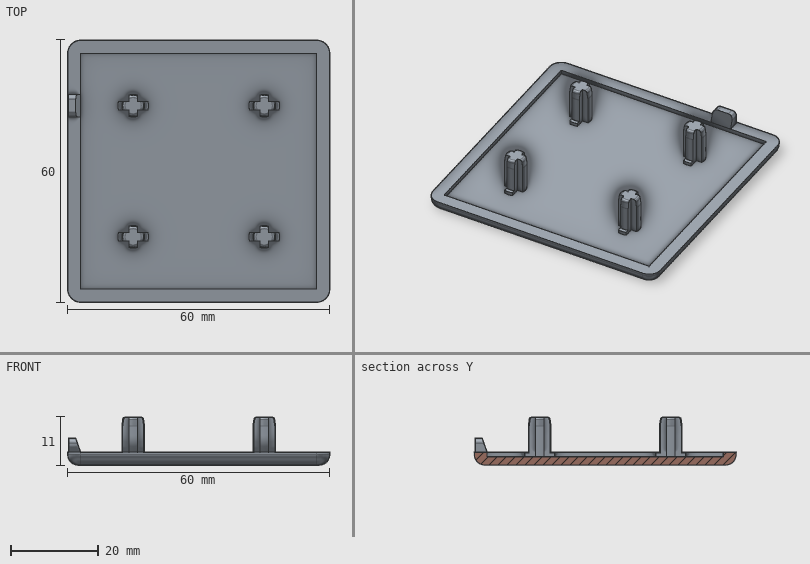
import cadquery as cq

PLATE_SIZE = 60.0
PLATE_THICKNESS = 3.0
CORNER_RADIUS = 3.0
EDGE_ROUND = 2.5
RIM_WIDTH = 3.0
POCKET_DEPTH = 1.0
FLOOR_Z = PLATE_THICKNESS - POCKET_DEPTH
POCKET_SIZE = PLATE_SIZE - 2 * RIM_WIDTH

TOTAL_HEIGHT = 11.0
POST_SPACING = 30.0
POST_RADIUS = 2.6
ARM_WIDTH = 2.0
TAPER_HEIGHT = 2.0
TAPER_INSET = 0.2
TIP_ROUND = 0.55

FOOT_REACH = 0.9
FOOT_RADIUS = POST_RADIUS + FOOT_REACH
FOOT_HEIGHT = 0.8

TAB_WIDTH = 5.2
TAB_HEIGHT = 3.2
TAB_TOP_LENGTH = 1.6
TAB_OUTER_GAP = 0.25
TAB_SIDE_ROUND = 1.2
TAB_Y = POST_SPACING / 2


def make_plate():
    """Rounded square with a rounded lower edge and a sharp-cornered pocket on top."""
    plate = (
        cq.Workplane("XY")
        .rect(PLATE_SIZE, PLATE_SIZE)
        .extrude(PLATE_THICKNESS)
        .edges("|Z")
        .fillet(CORNER_RADIUS)
        .faces("<Z")
        .edges()
        .fillet(EDGE_ROUND)
    )
    pocket = cq.Workplane("XY").workplane(offset=FLOOR_Z).rect(POCKET_SIZE, POCKET_SIZE).extrude(POCKET_DEPTH)
    return plate.cut(pocket)


def make_arm(radius, height):
    """Bar along X with ends rounded about the post axis."""
    disc = cq.Workplane("XY").circle(radius).extrude(height)
    bar = cq.Workplane("XY").rect(2 * radius, ARM_WIDTH).extrude(height)
    return disc.intersect(bar)


def make_post():
    """Cross trimmed to a round shaft with a tapered, rounded tip, plus its low foot."""
    height = TOTAL_HEIGHT - FLOOR_Z
    tip_radius = POST_RADIUS - TAPER_INSET
    shaft = (
        cq.Workplane("XZ")
        .moveTo(0, 0)
        .lineTo(POST_RADIUS, 0)
        .lineTo(POST_RADIUS, height - TAPER_HEIGHT)
        .lineTo(tip_radius, height - TIP_ROUND)
        .radiusArc((tip_radius - TIP_ROUND, height), -TIP_ROUND)
        .lineTo(0, height)
        .close()
        .revolve(360, (0, 0, 0), (0, 1, 0))
    )
    arm_x = make_arm(POST_RADIUS, height)
    arm_y = arm_x.rotate((0, 0, 0), (0, 0, 1), 90)
    foot = make_arm(FOOT_RADIUS, FOOT_HEIGHT)
    return arm_x.union(arm_y).intersect(shaft).union(foot)


def make_tab():
    """Wedge standing on the rim: upright outside, sloping down to the pocket edge inside."""
    outer_x = -PLATE_SIZE / 2 + TAB_OUTER_GAP
    inner_x = -POCKET_SIZE / 2
    top_z = PLATE_THICKNESS + TAB_HEIGHT
    wedge = (
        cq.Workplane("XZ", origin=(0, TAB_Y, 0))
        .moveTo(outer_x, FLOOR_Z)
        .lineTo(inner_x, FLOOR_Z)
        .lineTo(inner_x, PLATE_THICKNESS)
        .lineTo(outer_x + TAB_TOP_LENGTH, top_z)
        .lineTo(outer_x, top_z)
        .close()
        .extrude(TAB_WIDTH / 2, both=True)
    )
    return wedge.faces(">Z").edges("|X").fillet(TAB_SIDE_ROUND)


post_places = cq.Workplane("XY", origin=(0, 0, FLOOR_Z)).rect(POST_SPACING, POST_SPACING, forConstruction=True)
posts = post_places.vertices().eachpoint(make_post().val(), combine=False)
result = make_plate().union(posts).union(make_tab())